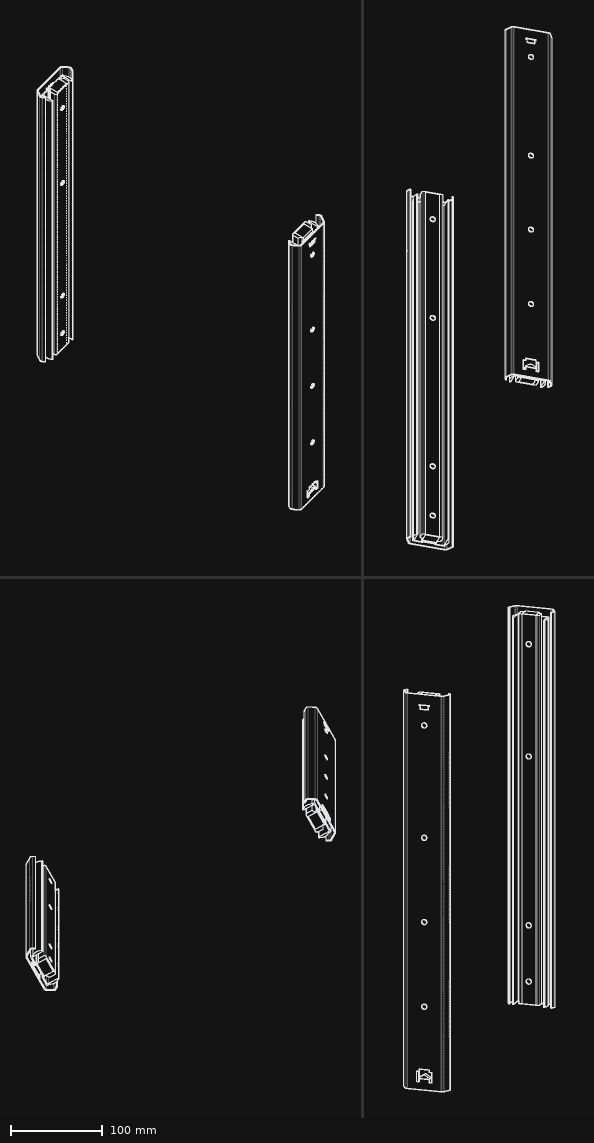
import cadquery as cq
import math


total_width = 364.0
total_height = 54.0
rail_length = 450.0
sheet = 1.2
outer_top = rail_length / 2

lip_angle = math.radians(58)
bend_radius = 3.0
web_half_height = 20.0
lip_length = 3.5

middle_web_x = 4.4
raised_web_x = middle_web_x + sheet
raised_half_height = 7.0
middle_half_height = 18.5
middle_corner_radius = 1.5
flange_end_x = 19.5
bump_height = 2.0
bump_start_x = 7.5
bump_end_x = 18.5
middle_bottom = -223.0
middle_top = 217.0

inner_half_height = 12.0
inner_wall_x = flange_end_x - sheet
inner_flange_start_x = 8.5
inner_flange_slope = 2.5
inner_corner_radius = 2.0
inner_bottom = -222.0
inner_top = 222.0

block_half_height = 8.0

hole_diameter = 6.0
outer_hole_heights = (190.0, 62.0, -33.8, -130.0)
inner_hole_heights = (188.0, 60.5, -132.0, -195.8)

window_top = 213.0
window_bottom = 208.0
window_half_width = 4.5
window_bar_half_width = 6.0
window_bar_height = 1.0

latch_bottom = -216.0
latch_shoulder = -204.5
latch_top = -201.5
latch_half_width = 9.0
latch_neck_half_width = 6.0
tongue_half_width = 6.0
tongue_bend = -212.5
tongue_shoulder = -211.0
tongue_tip = -207.5


def extrude_profile(profile, bottom, top):
    return profile.extrude(top - bottom).translate((0, 0, bottom))


def box_between(x_range, y_range, z_range):
    """Box from its lower and upper limits along each axis."""
    size = [high - low for low, high in (x_range, y_range, z_range)]
    corner = (x_range[0], y_range[0], z_range[0])
    return cq.Workplane("XY").box(*size, centered=False).translate(corner)


def screw_holes(heights, x_start):
    """Cylinders along X that pierce one sheet starting at x_start."""
    points = [(0, z) for z in heights]
    holes = cq.Workplane("YZ").pushPoints(points).circle(hole_diameter / 2).extrude(sheet)
    return holes.translate((x_start, 0, 0))


def lip_points(inset):
    """Points of the +Y lip, on the outer face (inset 0) or the inner face (inset = sheet)."""
    radius = bend_radius - inset
    sin_lip = math.sin(lip_angle)
    cos_lip = math.cos(lip_angle)
    tip_y = total_height / 2 - bend_radius
    tip_x = bend_radius + (tip_y - web_half_height) * math.tan(lip_angle)

    def bend_point(turn):
        return (bend_radius - radius * math.cos(turn), web_half_height + radius * math.sin(turn))

    lip_start = (tip_x + radius * cos_lip, tip_y + radius * sin_lip)
    return {
        "bend": [bend_point(turn) for turn in (0, lip_angle / 2, lip_angle)],
        "tip": [
            (tip_x - radius * cos_lip, tip_y + radius * sin_lip),
            (tip_x, tip_y + radius),
            lip_start,
        ],
        "end": (lip_start[0] + lip_length * sin_lip, lip_start[1] - lip_length * cos_lip),
    }


def outer_rail_profile():
    """The +Y half of the rail: half of the web and one hooked lip."""
    outside = lip_points(0)
    inside = lip_points(sheet)
    return (
        cq.Workplane("XY")
        .lineTo(*outside["bend"][0])
        .threePointArc(*outside["bend"][1:])
        .lineTo(*outside["tip"][0])
        .threePointArc(*outside["tip"][1:])
        .lineTo(*outside["end"])
        .lineTo(*inside["end"])
        .lineTo(*inside["tip"][2])
        .threePointArc(inside["tip"][1], inside["tip"][0])
        .lineTo(*inside["bend"][2])
        .threePointArc(inside["bend"][1], inside["bend"][0])
        .lineTo(sheet, 0)
        .close()
    )


def top_window():
    through = (0, sheet)
    stem = box_between(through, (-window_half_width, window_half_width), (window_bottom, window_top))
    bar = box_between(
        through,
        (-window_bar_half_width, window_bar_half_width),
        (window_top - window_bar_height, window_top),
    )
    return stem.union(bar)


def latch_window():
    """Opening around the tongue: a wide part, a narrower neck above it."""
    through = (0, sheet)
    wide = box_between(through, (-latch_half_width, latch_half_width), (latch_bottom, latch_shoulder))
    neck = box_between(
        through, (-latch_neck_half_width, latch_neck_half_width), (latch_shoulder, latch_top)
    )
    return wide.union(neck)


def latch_tongue():
    """Flat root in the plane of the web, with a pointed tip set back toward the middle rail."""
    root = box_between((0, sheet), (-tongue_half_width, tongue_half_width), (latch_bottom, tongue_bend))
    tip_outline = [
        (-tongue_half_width, tongue_bend),
        (tongue_half_width, tongue_bend),
        (tongue_half_width, tongue_shoulder),
        (0, tongue_tip),
        (-tongue_half_width, tongue_shoulder),
    ]
    tip_start = sheet / 2
    tip = cq.Workplane("YZ").polyline(tip_outline).close().extrude(raised_web_x - tip_start)
    return root.union(tip.translate((tip_start, 0, 0)))


def make_outer_rail():
    upper = extrude_profile(outer_rail_profile(), -outer_top, outer_top)
    rail = upper.union(upper.mirror("XZ"))
    rail = rail.cut(screw_holes(outer_hole_heights, 0))
    rail = rail.cut(top_window()).cut(latch_window())
    return rail.union(latch_tongue())


def make_middle_rail():
    """Channel with a raised strip along its web and a rounded bump along each flange."""
    bump_top = ((bump_start_x + bump_end_x) / 2, middle_half_height + bump_height)
    inner_y = middle_half_height - sheet
    half = (
        cq.Workplane("XY")
        .moveTo(raised_web_x, 0)
        .lineTo(raised_web_x, raised_half_height)
        .lineTo(middle_web_x, raised_half_height)
        .lineTo(middle_web_x, middle_half_height)
        .lineTo(bump_start_x, middle_half_height)
        .threePointArc(bump_top, (bump_end_x, middle_half_height))
        .lineTo(flange_end_x, middle_half_height)
        .lineTo(flange_end_x, inner_y)
        .lineTo(raised_web_x + middle_corner_radius, inner_y)
        .radiusArc((raised_web_x, inner_y - middle_corner_radius), -middle_corner_radius)
        .lineTo(raised_web_x, raised_half_height + sheet)
        .lineTo(raised_web_x + sheet, raised_half_height + sheet)
        .lineTo(raised_web_x + sheet, 0)
        .close()
    )
    upper = extrude_profile(half, middle_bottom, middle_top)
    return upper.union(upper.mirror("XZ"))


def make_inner_rail():
    """Channel facing the middle rail, with thick flanges sloped toward their free ends."""
    half_outline = [
        (flange_end_x, inner_half_height),
        (inner_flange_start_x + inner_flange_slope, inner_half_height),
        (inner_flange_start_x, block_half_height),
        (inner_wall_x, block_half_height),
    ]
    mirrored = [(x, -y) for x, y in reversed(half_outline)]
    profile = cq.Workplane("XY").polyline(half_outline + mirrored).close()
    rail = extrude_profile(profile, inner_bottom, inner_top)
    rail = rail.edges("|Z and >X").fillet(inner_corner_radius)
    return rail.cut(screw_holes(inner_hole_heights, inner_wall_x))


def make_block():
    return box_between(
        (raised_web_x + sheet, inner_wall_x),
        (-block_half_height, block_half_height),
        (inner_bottom, inner_top),
    )


bodies = []
for make_body in (make_outer_rail, make_middle_rail, make_inner_rail, make_block):
    left_body = make_body().translate((-total_width / 2, 0, 0))
    right_body = left_body.mirror("YZ")
    bodies += [left_body.val(), right_body.val()]

result = cq.Compound.makeCompound(bodies)